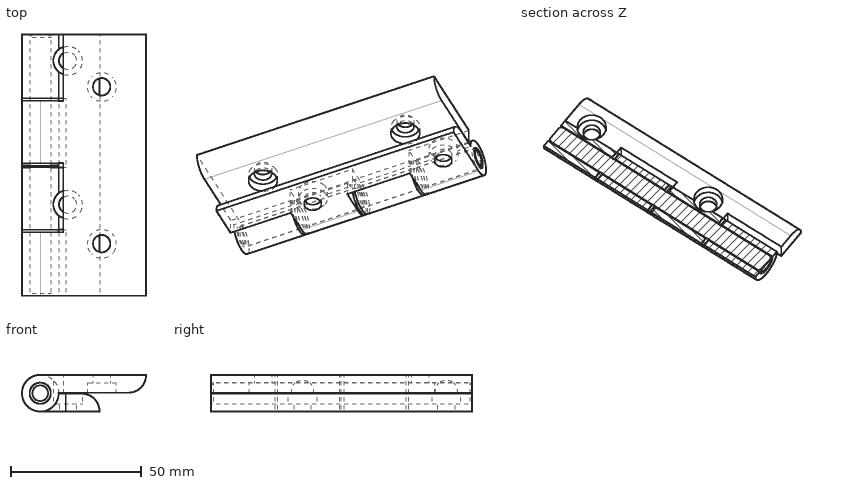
import cadquery as cq

hinge_length = 100.0
barrel_radius = 7.05
leaf_thickness = 6.9
tip_radius = 6.75
upper_reach = 40.5
lower_reach = 22.7

pin_diameter = 8.0
knuckle_bore_diameter = 8.2
pin_chamfer = 1.0

washer_thickness = 1.0
end_knuckle_length = 24.4
inner_knuckle_length = 23.8

upper_notch_edge = 8.75
lower_notch_edge = 9.8

screw_hole_diameter = 6.6
counterbore_diameter = 11.0
counterbore_depth = 3.8
upper_hole_x = 23.45
upper_hole_ys = (-30.0, 30.0)
lower_hole_x = 10.5
lower_hole_ys = (-15.0, 40.0)

front = -hinge_length / 2
back = hinge_length / 2
front_washer_start = front + end_knuckle_length
lower_inner_start = front_washer_start + washer_thickness
lower_inner_end = lower_inner_start + inner_knuckle_length
lower_end_start = back - end_knuckle_length
upper_inner_end = lower_end_start - washer_thickness
upper_inner_start = upper_inner_end - inner_knuckle_length

upper_knuckles = [(front, front_washer_start), (upper_inner_start, upper_inner_end)]
lower_knuckles = [(lower_inner_start, lower_inner_end), (lower_end_start, back)]
washer_starts = [front_washer_start, upper_inner_start - washer_thickness, upper_inner_end]

inner_face_z = barrel_radius - leaf_thickness


def cylinder_along_y(diameter, start, end):
    """Cylinder on the hinge axis from Y = start to Y = end."""
    return cq.Workplane("XZ", origin=(0, start, 0)).circle(diameter / 2).extrude(start - end)


def plate_block(x_start, x_end, y_start, y_end):
    """Block as thick as a leaf, lying between its inner and outer faces."""
    block = cq.Workplane("XY").box(x_end - x_start, y_end - y_start, leaf_thickness, centered=False)
    return block.translate((x_start, y_start, inner_face_z))


def drill(leaf, diameter, depth, hole_x, hole_ys):
    """Cut round holes into the leaf from its inner face, through any knuckle below that face."""
    drill_start = -barrel_radius
    centres = [(hole_x, y) for y in hole_ys]
    holes = (
        cq.Workplane("XY", origin=(0, 0, drill_start))
        .pushPoints(centres)
        .circle(diameter / 2)
        .extrude(inner_face_z - drill_start + depth)
    )
    return leaf.cut(holes)


def make_leaf(reach, knuckles, notch_edge, hole_x, hole_ys):
    """Plate with a rounded tip, two knuckles bored for the pin, and counterbored screw holes."""
    leaf = plate_block(notch_edge, reach, front, back).edges("|Y and >X and <Z").fillet(tip_radius)
    for start, end in knuckles:
        leaf = leaf.union(plate_block(0, notch_edge, start, end))
        leaf = leaf.union(cylinder_along_y(2 * barrel_radius, start, end))
    leaf = leaf.cut(cylinder_along_y(knuckle_bore_diameter, front, back))
    leaf = drill(leaf, screw_hole_diameter, leaf_thickness, hole_x, hole_ys)
    return drill(leaf, counterbore_diameter, counterbore_depth, hole_x, hole_ys)


def make_washer(start):
    """Washer fitting snugly on the pin, flush with the barrel."""
    end = start + washer_thickness
    return cylinder_along_y(2 * barrel_radius, start, end).cut(cylinder_along_y(pin_diameter, start, end))


upper_leaf = make_leaf(upper_reach, upper_knuckles, upper_notch_edge, upper_hole_x, upper_hole_ys)

lower_leaf = make_leaf(lower_reach, lower_knuckles, lower_notch_edge, lower_hole_x, lower_hole_ys)
lower_leaf = lower_leaf.mirror("XY")

pin = cylinder_along_y(pin_diameter, front, back).faces("<Y or >Y").chamfer(pin_chamfer)

washers = [make_washer(start) for start in washer_starts]

result = cq.Compound.makeCompound(
    [upper_leaf.val(), lower_leaf.val(), pin.val(), *[washer.val() for washer in washers]]
)